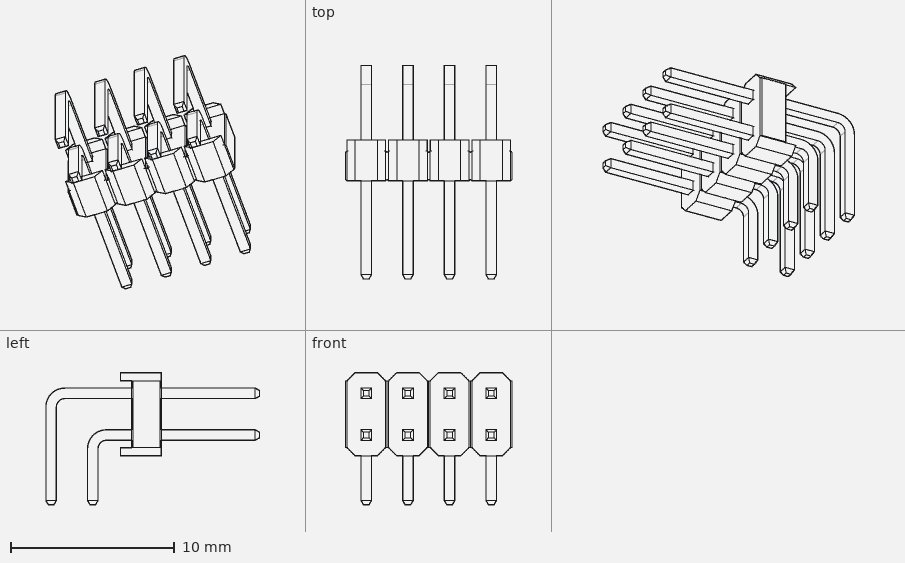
import cadquery as cq
import math

overall_width = 10.17
overall_length = 13.05
overall_height = 8.08

columns = 4
rows = 2
pitch = overall_width / columns

block_width = 2.38
block_height = rows * pitch
block_depth = 2.49
block_chamfer = 0.51
web_depth = 1.81
web_height = block_height - 2 * block_chamfer
web_bevel = (pitch - block_width) / 2

wire_size = 0.65
bend_inner_radius = 0.51
bend_radius = bend_inner_radius + wire_size / 2
tip_length = 0.27
tip_inset = 0.16
tip_taper = math.degrees(math.atan2(tip_inset, tip_length))
front_reach = 6.0

pin_front = -front_reach
pin_bottom = block_height / 2 - overall_height
rearmost_leg = overall_length - front_reach - wire_size / 2

column_positions = [(i - (columns - 1) / 2) * pitch for i in range(columns)]
row_positions = [(j - (rows - 1) / 2) * pitch for j in range(rows)]


def make_block(x):
    """Octagonal block around one column of pins."""
    return (
        cq.Workplane("XY")
        .box(block_width, block_depth, block_height)
        .edges("|Y")
        .chamfer(block_chamfer)
        .translate((x, block_depth / 2, 0))
    )


def make_web(x):
    """One pitch of the web, with bevelled corners that form V grooves between the blocks."""
    return (
        cq.Workplane("XY")
        .box(pitch, web_depth, web_height)
        .edges("|Z")
        .chamfer(web_bevel)
        .translate((x, web_depth / 2, 0))
    )


def make_channel():
    """Clearance behind the web, open to the rear and at both ends of the row."""
    channel_depth = block_depth - web_depth
    return (
        cq.Workplane("XY")
        .box(overall_width, channel_depth, web_height)
        .translate((0, web_depth + channel_depth / 2, 0))
    )


def make_tip(plane):
    """Tapered wire end that narrows along the normal of the given plane."""
    return cq.Workplane(plane).rect(wire_size, wire_size).extrude(tip_length, taper=tip_taper)


def make_pin(x, z):
    """Bent pin at one grid place; the higher row bends down farther back."""
    leg_y = rearmost_leg - (row_positions[-1] - z)
    shank_start = pin_front + tip_length
    leg_end = pin_bottom + tip_length
    path = (
        cq.Workplane("YZ", origin=(x, 0, 0))
        .moveTo(shank_start, z)
        .lineTo(leg_y - bend_radius, z)
        .radiusArc((leg_y, z - bend_radius), bend_radius)
        .lineTo(leg_y, leg_end)
    )
    front_plane = cq.Plane(origin=(x, shank_start, z), xDir=(1, 0, 0), normal=(0, -1, 0))
    bottom_plane = cq.Plane(origin=(x, leg_y, leg_end), xDir=(1, 0, 0), normal=(0, 0, -1))
    wire = cq.Workplane(front_plane).rect(wire_size, wire_size).sweep(path)
    return wire.union(make_tip(front_plane)).union(make_tip(bottom_plane))


def make_housing(fitted_pins):
    """Row of blocks and web with a rear channel and a through hole matching each pin."""
    body = make_block(column_positions[0])
    for x in column_positions[1:]:
        body = body.union(make_block(x))
    for x in column_positions:
        body = body.union(make_web(x))
    body = body.cut(make_channel())
    for pin in fitted_pins:
        body = body.cut(pin)
    return body


pins = [make_pin(x, z) for x in column_positions for z in row_positions]
housing = make_housing(pins)

result = cq.Compound.makeCompound([housing.solids().val(), *[pin.solids().val() for pin in pins]])